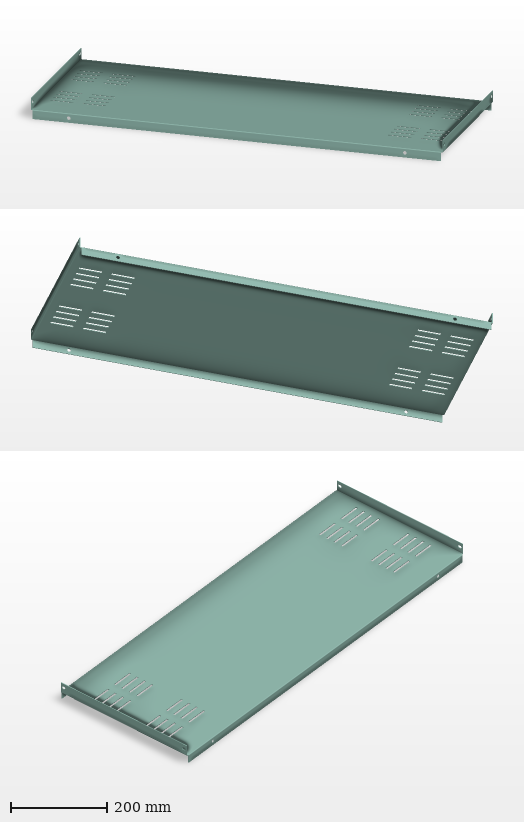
import cadquery as cq

length = 899.0
width = 344.0
height = 45.0

thickness = 1.5
inner_radius = 0.5
outer_radius = inner_radius + thickness

side_flange_inset = 4.0
end_flange_inset = 2.0
side_flange_height = 20.0
end_flange_height = height - side_flange_height + thickness
side_flange_length = length - 2 * side_flange_inset
end_flange_length = width - 2 * end_flange_inset

side_hole_diameter = 8.0
side_hole_spacing = 733.0
side_hole_drop = 10.0

end_slot_length = 9.5
end_slot_width = 6.5
end_slot_spacing = 324.0
end_slot_drop = 11.0

vent_length = 50.0
vent_width = 5.0
vent_columns = (333.0, 404.0)
vent_first_row = 40.0
vent_row_pitch = 20.0
vent_row_count = 4

plate_top = thickness


def mirrored(distances):
    """Return each distance on both sides of the middle."""
    return [sign * distance for distance in distances for sign in (-1, 1)]


def make_plate():
    """Flat sheet, stopping where the bends begin on all four sides."""
    flat_length = length - 2 * outer_radius
    flat_width = width - 2 * outer_radius
    return cq.Workplane("XY").box(flat_length, flat_width, thickness, centered=(True, True, False))


def make_flange(workplane, half_span, flange_height, flange_length):
    """Bend and upright wall, drawn as a profile that folds up from Z = 0 at the far edge."""
    bend_start = half_span - outer_radius
    return (
        cq.Workplane(workplane)
        .moveTo(bend_start, 0)
        .radiusArc((half_span, outer_radius), -outer_radius)
        .lineTo(half_span, flange_height)
        .lineTo(half_span - thickness, flange_height)
        .lineTo(half_span - thickness, outer_radius)
        .radiusArc((bend_start, thickness), inner_radius)
        .close()
        .extrude(flange_length / 2, both=True)
    )


def make_end_flange():
    """Upward flange at the +X end."""
    return make_flange("XZ", length / 2, end_flange_height, end_flange_length)


def make_side_flange():
    """Downward flange along the +Y side."""
    upward = make_flange("YZ", width / 2, side_flange_height, side_flange_length)
    return upward.mirror("XY").translate((0, 0, plate_top))


def make_vent_slots():
    """Cutters for every ventilation slot in the plate."""
    rows = [vent_first_row + index * vent_row_pitch for index in range(vent_row_count)]
    centers = [(x, y) for x in mirrored(vent_columns) for y in mirrored(rows)]
    return cq.Workplane("XY").pushPoints(centers).rect(vent_length, vent_width).extrude(thickness)


def make_side_holes():
    """Cutters that run across the full width through both side flanges."""
    hole_z = plate_top - side_hole_drop
    centers = [(x, hole_z) for x in mirrored([side_hole_spacing / 2])]
    return (
        cq.Workplane("XZ")
        .pushPoints(centers)
        .circle(side_hole_diameter / 2)
        .extrude(width / 2, both=True)
    )


def make_end_slots():
    """Cutters that run along the full length through both end flanges."""
    slot_z = end_flange_height - end_slot_drop
    centers = [(y, slot_z) for y in mirrored([end_slot_spacing / 2])]
    return (
        cq.Workplane("YZ")
        .pushPoints(centers)
        .slot2D(end_slot_length, end_slot_width)
        .extrude(length / 2, both=True)
    )


end_flange = make_end_flange()
side_flange = make_side_flange()

shelf = make_plate()
shelf = shelf.union(end_flange).union(end_flange.mirror("YZ"))
shelf = shelf.union(side_flange).union(side_flange.mirror("XZ"))

result = shelf.cut(make_vent_slots()).cut(make_side_holes()).cut(make_end_slots())